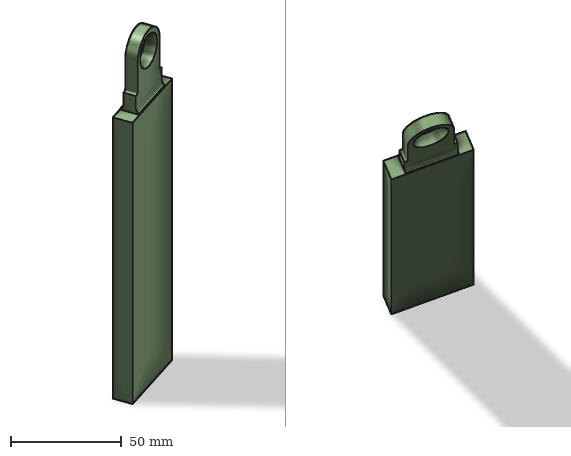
import cadquery as cq
import math

total_height = 191.5
body_thickness = 10.0
body_width = 40.0
body_height = 153.4

tab_thickness = 6.3
shoulder_width = 25.9
shoulder_top = 163.2
shoulder_fillet = 1.1

eye_diameter = 22.6
hole_diameter = 17.0

foot_thickness = 9.5
foot_height = 0.5
flare_radius = 2.9

eye_radius = eye_diameter / 2
eye_center_z = total_height - eye_radius


def make_body():
    """Rectangular bar standing on the XY plane."""
    return cq.Workplane("XY").box(
        body_thickness, body_width, body_height, centered=(True, True, False)
    )


def make_tab():
    """Flat tab with a rounded eye, stepping out to wider shoulders."""
    half_shoulder = shoulder_width / 2
    neck_end = shoulder_top + shoulder_fillet
    fillet_end = eye_radius + shoulder_fillet
    mid_offset = shoulder_fillet * (1 - math.sqrt(0.5))
    fillet_mid = (eye_radius + mid_offset, shoulder_top + mid_offset)
    return (
        cq.Workplane("YZ")
        .moveTo(-half_shoulder, body_height)
        .lineTo(half_shoulder, body_height)
        .lineTo(half_shoulder, shoulder_top)
        .lineTo(fillet_end, shoulder_top)
        .threePointArc(fillet_mid, (eye_radius, neck_end))
        .lineTo(eye_radius, eye_center_z)
        .threePointArc((0, total_height), (-eye_radius, eye_center_z))
        .lineTo(-eye_radius, neck_end)
        .threePointArc((-fillet_mid[0], fillet_mid[1]), (-fillet_end, shoulder_top))
        .lineTo(-half_shoulder, shoulder_top)
        .close()
        .extrude(tab_thickness / 2, both=True)
    )


def make_foot():
    """Foot of the tab, flaring along arcs tangent to the tab faces."""
    half_tab = tab_thickness / 2
    half_foot = foot_thickness / 2
    foot_top = body_height + foot_height
    spread = half_foot - half_tab
    flare_angle = math.acos(1 - spread / flare_radius)
    flare_top = foot_top + flare_radius * math.sin(flare_angle)
    mid_x = half_tab + flare_radius * (1 - math.cos(flare_angle / 2))
    mid_z = flare_top - flare_radius * math.sin(flare_angle / 2)
    return (
        cq.Workplane("XZ")
        .moveTo(-half_foot, body_height)
        .lineTo(half_foot, body_height)
        .lineTo(half_foot, foot_top)
        .threePointArc((mid_x, mid_z), (half_tab, flare_top))
        .lineTo(-half_tab, flare_top)
        .threePointArc((-mid_x, mid_z), (-half_foot, foot_top))
        .close()
        .extrude(shoulder_width / 2, both=True)
    )


def make_eye_hole():
    """Cylinder that pierces the eye along X."""
    return (
        cq.Workplane("YZ", origin=(-body_thickness / 2, 0, 0))
        .center(0, eye_center_z)
        .circle(hole_diameter / 2)
        .extrude(body_thickness)
    )


result = make_body().union(make_tab()).union(make_foot()).cut(make_eye_hole())